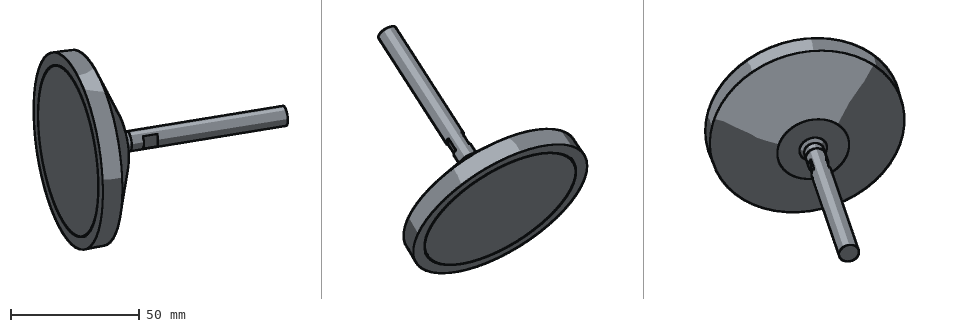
import cadquery as cq
import math

total_length = 90.0

sole_diameter = 78.0
rim_top_diameter = 77.6
rim_height = 8.2
crown_diameter = 28.6
foot_height = 20.0
groove_outer_diameter = 68.0
groove_inner_diameter = 67.5
groove_depth = 1.8

stud_diameter = 8.0
neck_diameter = 7.8
shoulder_height = 25.0
ball_diameter = 14.0
ball_exposed_height = 1.4
flat_start = 30.1
flat_length = 5.9
across_flats = 5.9

ball_radius = ball_diameter / 2
neck_radius = neck_diameter / 2
neck_start = foot_height + ball_exposed_height
ball_center = neck_start - math.sqrt(ball_radius**2 - neck_radius**2)


def cylinder(diameter, start, end):
    """Solid cylinder about Y between two heights."""
    plane = cq.Plane(origin=(0, start, 0), xDir=(1, 0, 0), normal=(0, 1, 0))
    return cq.Workplane(plane).circle(diameter / 2).extrude(end - start)


def make_ball():
    return cq.Workplane("XY").sphere(ball_radius).translate((0, ball_center, 0))


def make_foot():
    """Conical foot with a ball socket and a thin ring groove in its sole."""
    profile = [
        (0, 0),
        (sole_diameter / 2, 0),
        (rim_top_diameter / 2, rim_height),
        (crown_diameter / 2, foot_height),
        (0, foot_height),
    ]
    body = cq.Workplane("XY").polyline(profile).close().revolve(360, (0, 0, 0), (0, 1, 0))
    groove = cylinder(groove_outer_diameter, 0, groove_depth).cut(
        cylinder(groove_inner_diameter, 0, groove_depth)
    )
    return body.cut(groove).cut(make_ball())


def make_stud():
    """Stud with a ball end, a slimmer neck and two wrench flats."""
    shank = cylinder(stud_diameter, shoulder_height, total_length)
    flat_depth = (stud_diameter - across_flats) / 2
    flat_offset = (across_flats + flat_depth) / 2
    for side in (-1, 1):
        flat_cut = cq.Workplane("XY").box(flat_depth, flat_length, stud_diameter)
        shank = shank.cut(flat_cut.translate((side * flat_offset, flat_start + flat_length / 2, 0)))
    neck = cylinder(neck_diameter, ball_center, shoulder_height)
    return shank.union(neck).union(make_ball())


foot = make_foot()
stud = make_stud()
result = cq.Compound.makeCompound([foot.solids().val(), stud.solids().val()])